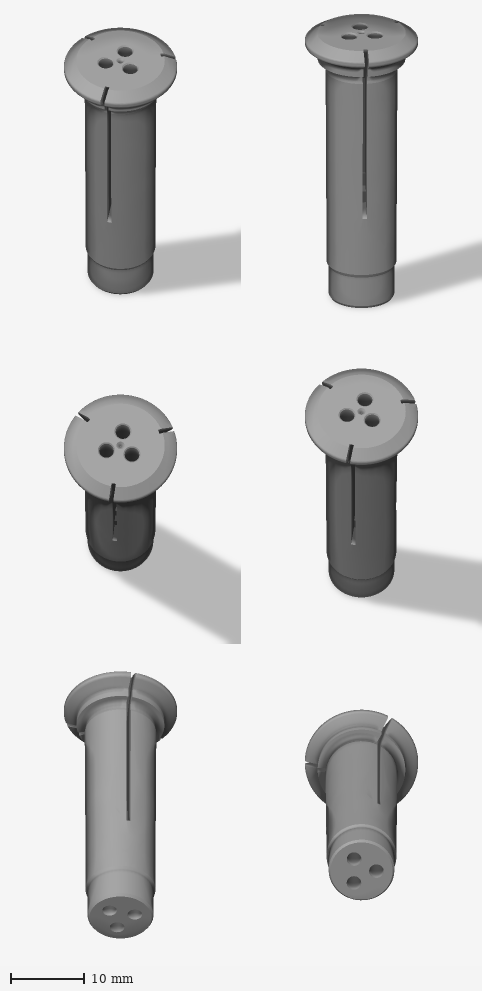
import cadquery as cq
import math

total_height = 39.5
spigot_chamfer_height = 0.4
shoulder_z = 4.7
shank_bottom_z = 5.2
shank_top_z = 34.02
neck_z = 34.42
collar_bottom_z = 35.55

spigot_end_radius = 4.25
spigot_radius = 4.5
shank_bottom_radius = 4.78
shank_top_radius = 4.92
neck_radius = 4.82
collar_radius = 6.0
rim_radius = 7.75
top_face_radius = 6.05

head_cone_angle = 30.0
rim_land = 0.72
rim_upper_rounding = 0.35
rim_lower_rounding = 0.45
collar_fillet = 0.4
neck_upper_fillet = 0.6
neck_lower_fillet = 0.4

slot_count = 3
first_slot_angle = 180.0
slot_width = 0.6
slot_top_radius = 5.6
slot_head_slope = 31.5
slot_runout_slope = 45.0
slot_core_radius = 1.95
slot_step_radius = 2.5
slot_foot_radius = 6.19 / 2
slot_step_z = 19.4
slot_foot_z = 17.0
slot_end_z = 13.65

hole_count = 3
hole_circle_radius = 2.04
hole_diameter = 2.0
hole_chamfer = 0.17
centre_diameter = 1.1
centre_tip_diameter = 0.2
centre_cone_angle = 45.0


def make_body():
    """Revolve the outside profile about the Z axis."""
    cone_rise = math.tan(math.radians(head_cone_angle))
    rim_top_z = total_height - (rim_radius - top_face_radius) * cone_rise
    rim_bottom_z = rim_top_z - rim_land
    collar_top_z = rim_bottom_z - (rim_radius - collar_radius) * cone_rise

    profile = (
        cq.Workplane("XZ")
        .moveTo(0, 0)
        .lineTo(spigot_end_radius, 0)
        .lineTo(spigot_radius, spigot_chamfer_height)
        .lineTo(spigot_radius, shoulder_z)
        .lineTo(shank_bottom_radius, shank_bottom_z)
        .lineTo(shank_top_radius, shank_top_z)
        .lineTo(neck_radius, neck_z)
        .lineTo(neck_radius, collar_bottom_z)
        .lineTo(collar_radius, collar_bottom_z)
        .lineTo(collar_radius, collar_top_z)
        .lineTo(rim_radius, rim_bottom_z)
        .lineTo(rim_radius, rim_top_z)
        .lineTo(top_face_radius, total_height)
        .lineTo(0, total_height)
        .close()
    )
    body = profile.revolve(360, (0, 0, 0), (0, 1, 0))
    body = round_circle(body, rim_radius, rim_top_z, rim_upper_rounding)
    body = round_circle(body, rim_radius, rim_bottom_z, rim_lower_rounding)
    body = round_circle(body, collar_radius, collar_top_z, collar_fillet)
    body = round_circle(body, neck_radius, collar_bottom_z, neck_upper_fillet)
    return round_circle(body, neck_radius, neck_z, neck_lower_fillet)


def round_circle(body, radius, height, rounding):
    """Fillet the circular edge with the given radius and height."""
    tolerance = 0.01
    edge = body.edges(
        cq.selectors.BoxSelector(
            (-radius - tolerance, -radius - tolerance, height - tolerance),
            (radius + tolerance, radius + tolerance, height + tolerance),
            boundingbox=True,
        )
    )
    return edge.fillet(rounding)


def make_slot():
    """Slot along +X whose floor runs in under the head and back out through the shank."""
    shank_taper = (shank_top_radius - shank_bottom_radius) / (shank_top_z - shank_bottom_z)
    slot_end_radius = shank_bottom_radius + (slot_end_z - shank_bottom_z) * shank_taper
    runout = math.tan(math.radians(slot_runout_slope))
    head_drop = (slot_top_radius - slot_core_radius) / math.tan(math.radians(slot_head_slope))
    step_top_z = slot_foot_z + (slot_foot_radius - slot_step_radius) / runout
    runout_top_z = slot_end_z + (slot_end_radius - slot_foot_radius) / runout
    outside = rim_radius + 1.0
    return (
        cq.Workplane("XZ")
        .moveTo(outside, total_height)
        .lineTo(slot_top_radius, total_height)
        .lineTo(slot_core_radius, total_height - head_drop)
        .lineTo(slot_core_radius, slot_step_z)
        .lineTo(slot_step_radius, slot_step_z)
        .lineTo(slot_step_radius, step_top_z)
        .lineTo(slot_foot_radius, slot_foot_z)
        .lineTo(slot_foot_radius, runout_top_z)
        .lineTo(slot_end_radius, slot_end_z)
        .lineTo(outside, slot_end_z)
        .close()
        .extrude(slot_width / 2, both=True)
    )


def cut_slots(body):
    slot = make_slot()
    for index in range(slot_count):
        angle = first_slot_angle + index * 360.0 / slot_count
        body = body.cut(slot.rotate((0, 0, 0), (0, 0, 1), angle))
    return body


def cut_holes(body):
    """Chamfered through holes, centred between the slots."""
    hole_radius = hole_diameter / 2
    mouth_radius = hole_radius + hole_chamfer
    top_centre = cq.Vector(0, 0, total_height)
    down = cq.Vector(0, 0, -1)
    bore = cq.Solid.makeCylinder(hole_radius, total_height, top_centre, down)
    mouth = cq.Solid.makeCone(mouth_radius, hole_radius, hole_chamfer, top_centre, down)
    first_hole = cq.Workplane(bore.fuse(mouth)).translate((hole_circle_radius, 0, 0))
    for index in range(hole_count):
        body = body.cut(first_hole.rotate((0, 0, 0), (0, 0, 1), index * 360.0 / hole_count))
    return body


def cut_centre_mark(body):
    """Conical centre mark on the axis."""
    mouth_radius = centre_diameter / 2
    tip_radius = centre_tip_diameter / 2
    depth = (mouth_radius - tip_radius) / math.tan(math.radians(centre_cone_angle))
    cone = cq.Solid.makeCone(
        mouth_radius, tip_radius, depth, cq.Vector(0, 0, total_height), cq.Vector(0, 0, -1)
    )
    return body.cut(cq.Workplane(cone))


result = cut_centre_mark(cut_holes(cut_slots(make_body())))